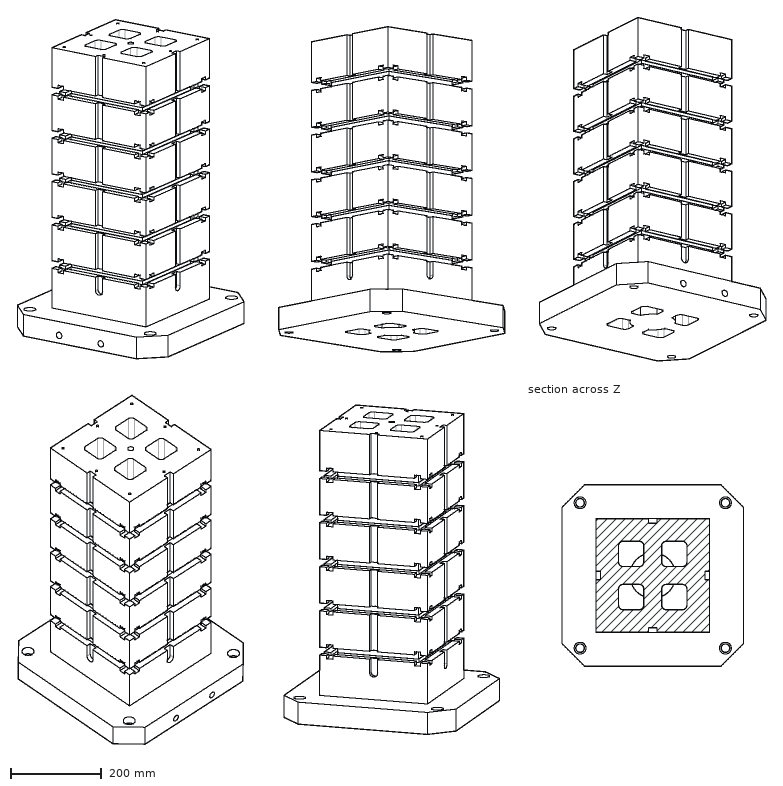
import cadquery as cq
import math

height = 650.0
base_side = 400.0
base_height = 50.0
base_corner_cut = 50.0

bolt_offset = 160.0
bolt_diameter = 18.0
bolt_head_diameter = 26.0
bolt_head_depth = 18.0

edge_hole_offset = 55.0
edge_hole_z = 18.0
edge_hole_diameter = 14.0
edge_hole_depth = 30.0

column_side = 250.0
column_height = height - base_height

slot_count = 5
lowest_slot_z = 150.0
highest_slot_z = 550.0
slot_pitch = (highest_slot_z - lowest_slot_z) / (slot_count - 1)
slot_opening = 17.5
slot_lip = 16.0
slot_head_width = 32.0
slot_depth = 30.5
relief_width = 16.0
relief_depth = 0.5

groove_width = 18.0
groove_depth = 10.0
groove_end_z = 110.5

pocket_offset = 47.5
pocket_side = 55.0
pocket_corner_radius = 10.0
floor_disc_diameter = 101.0

centre_hole_diameter = 13.0
centre_hole_depth = 30.0
pin_hole_offset = 105.0
pin_hole_diameter = 5.0
pin_hole_depth = 15.0

drill_point_angle = 118


def drilled_hole(diameter, depth):
    """Blind drill shape: mouth at the origin, going down -Z to a conical point."""
    radius = diameter / 2
    point_length = radius / math.tan(math.radians(drill_point_angle / 2))
    return (
        cq.Workplane("XZ")
        .polyline([(0, 0), (radius, 0), (radius, -depth), (0, -depth - point_length)])
        .close()
        .revolve(360, (0, 0, 0), (0, 1, 0))
    )


def on_four_sides(shape):
    """The shape made for the -Y side, repeated on all four sides of the column."""
    sides = shape
    for turn in range(1, 4):
        sides = sides.union(shape.rotate((0, 0, 0), (0, 0, 1), 90 * turn))
    return sides


def t_slot():
    """T-slot along the -Y face of the column, centred on Z = 0, with a shallow relief in its back wall."""
    face_y = -column_side / 2
    back_y = face_y + slot_depth
    relief_y = back_y + relief_depth
    neck_half = slot_opening / 2
    head_half = slot_head_width / 2
    relief_half = relief_width / 2
    upper_half = [
        (face_y, neck_half),
        (face_y + slot_lip, neck_half),
        (face_y + slot_lip, head_half),
        (back_y, head_half),
        (back_y, relief_half),
        (relief_y, relief_half),
    ]
    lower_half = [(y, -z) for y, z in reversed(upper_half)]
    profile = cq.Workplane("YZ").polyline(upper_half + lower_half).close()
    return profile.extrude(column_side / 2, both=True)


def face_groove():
    """Groove in the -Y face of the column, open at the top and round at the lower end."""
    length = height - groove_end_z
    face_y = -column_side / 2
    channel = cq.Workplane("XY").box(groove_width, groove_depth, length, centered=(True, False, False))
    channel = channel.translate((0, face_y, groove_end_z))
    round_end = cq.Workplane("XZ").circle(groove_width / 2).extrude(-groove_depth)
    return channel.union(round_end.translate((0, face_y, groove_end_z)))


base = cq.Workplane("XY").rect(base_side, base_side).extrude(base_height)
base = base.edges("|Z").chamfer(base_corner_cut)
column = cq.Workplane("XY", origin=(0, 0, base_height)).rect(column_side, column_side).extrude(column_height)
result = base.union(column)

pockets = (
    cq.Workplane("XY")
    .rect(2 * pocket_offset, 2 * pocket_offset, forConstruction=True)
    .vertices()
    .rect(pocket_side, pocket_side)
    .extrude(height)
    .edges("|Z")
    .fillet(pocket_corner_radius)
)
floor_disc = cq.Workplane("XY").circle(floor_disc_diameter / 2).extrude(base_height)
result = result.cut(pockets).union(floor_disc)

slot_ring = on_four_sides(t_slot())
for index in range(slot_count):
    result = result.cut(slot_ring.translate((0, 0, lowest_slot_z + slot_pitch * index)))
result = result.cut(on_four_sides(face_groove()))

result = (
    result.copyWorkplane(cq.Workplane("XY", origin=(0, 0, base_height)))
    .rect(2 * bolt_offset, 2 * bolt_offset, forConstruction=True)
    .vertices()
    .cboreHole(bolt_diameter, bolt_head_diameter, bolt_head_depth)
)

edge_hole = drilled_hole(edge_hole_diameter, edge_hole_depth).rotate((0, 0, 0), (1, 0, 0), 90)
for x in (-edge_hole_offset, edge_hole_offset):
    result = result.cut(edge_hole.translate((x, -base_side / 2, edge_hole_z)))

result = result.cut(drilled_hole(centre_hole_diameter, centre_hole_depth).translate((0, 0, height)))
pin_hole = drilled_hole(pin_hole_diameter, pin_hole_depth)
for column_step in (-1, 0, 1):
    for row_step in (-1, 0, 1):
        if (column_step, row_step) != (0, 0):
            place = (column_step * pin_hole_offset, row_step * pin_hole_offset, height)
            result = result.cut(pin_hole.translate(place))